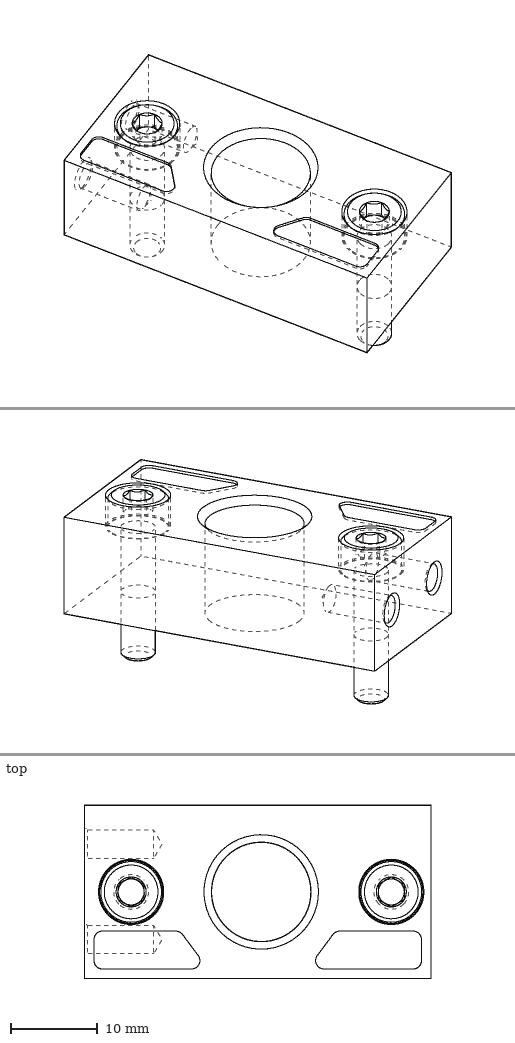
import cadquery as cq
import math

block_length = 40.0
block_width = 20.0
block_height = 12.0

feature_shift = 0.4
bore_diameter = 11.45
bore_chamfer = 0.9

screw_spacing = 30.0
shank_diameter = 4.0
shank_projection = 8.0
tip_chamfer = 0.45
head_diameter = 7.0
head_height = 4.0
head_chamfer = 0.4
head_recess_diameter = 7.5
head_recess_floor_chamfer = 0.1

socket_across_flats = 3.0
socket_depth = 2.0
socket_corner_diameter = socket_across_flats / math.cos(math.radians(30))
socket_lead_in = (socket_corner_diameter - socket_across_flats) / 2
socket_tip_height = 0.6

end_hole_diameter = 3.25
end_hole_mouth_diameter = 4.0
end_hole_spacing = 11.0
end_hole_depth = 8.0
drill_point_angle = 118.0

pocket_margin = 1.1
pocket_height = 4.35
pocket_top_length = 9.9
pocket_bottom_length = 13.15
pocket_depth = 0.3
pocket_corner_radius = 0.95

screw_points = [(feature_shift - screw_spacing / 2, 0), (feature_shift + screw_spacing / 2, 0)]
head_seat = block_height - head_height


def make_bore_cutter():
    """Through bore with a chamfered top rim."""
    radius = bore_diameter / 2
    bore = cq.Workplane("XY").center(feature_shift, 0).circle(radius).extrude(block_height)
    rim = cq.Solid.makeCone(
        radius,
        radius + bore_chamfer,
        bore_chamfer,
        pnt=cq.Vector(feature_shift, 0, block_height - bore_chamfer),
    )
    return bore.union(cq.Workplane(rim))


def make_screw_hole_cutter(point):
    """Shank hole with a recess for the screw head, chamfered around the floor of the recess."""
    shank_hole = cq.Workplane("XY").center(*point).circle(shank_diameter / 2).extrude(block_height)
    head_recess = (
        cq.Workplane("XY", origin=(0, 0, head_seat))
        .center(*point)
        .circle(head_recess_diameter / 2)
        .extrude(head_height)
        .faces("<Z")
        .chamfer(head_recess_floor_chamfer)
    )
    return shank_hole.union(head_recess)


def make_end_hole_cutter(y):
    """Blind drilled hole along +X from the end face, with a chamfered mouth and a drill point."""
    radius = end_hole_diameter / 2
    mouth_radius = end_hole_mouth_diameter / 2
    mouth_chamfer = mouth_radius - radius
    point_length = radius / math.tan(math.radians(drill_point_angle / 2))
    profile = [
        (0, 0),
        (0, mouth_radius),
        (mouth_chamfer, radius),
        (end_hole_depth, radius),
        (end_hole_depth + point_length, 0),
    ]
    return (
        cq.Workplane("XY", origin=(-block_length / 2, y, block_height / 2))
        .polyline(profile)
        .close()
        .revolve(360, (0, 0), (1, 0))
    )


def make_pocket_cutter():
    """Label pocket at the -X end: a four-sided outline with a slanted inner side."""
    left = pocket_margin - block_length / 2
    bottom = pocket_margin - block_width / 2
    top = bottom + pocket_height
    outline = [
        (left, bottom),
        (left + pocket_bottom_length, bottom),
        (left + pocket_top_length, top),
        (left, top),
    ]
    return (
        cq.Workplane("XY", origin=(0, 0, block_height - pocket_depth))
        .polyline(outline)
        .close()
        .extrude(pocket_depth)
        .edges("|Z")
        .fillet(pocket_corner_radius)
    )


def make_block():
    block = cq.Workplane("XY").box(
        block_length, block_width, block_height, centered=(True, True, False)
    )
    block = block.cut(make_bore_cutter())
    for point in screw_points:
        block = block.cut(make_screw_hole_cutter(point))
    for side in (-1, 1):
        block = block.cut(make_end_hole_cutter(side * end_hole_spacing / 2))
    pocket = make_pocket_cutter()
    return block.cut(pocket).cut(pocket.mirror("YZ"))


def make_socket_cutter():
    """Hexagon socket on the Z axis, with a round lead-in and a conical floor."""
    floor = block_height - socket_depth
    flat_radius = socket_across_flats / 2
    hexagon = (
        cq.Workplane("XY", origin=(0, 0, floor))
        .transformed(rotate=(0, 0, 90))
        .polygon(6, socket_corner_diameter)
        .extrude(socket_depth)
    )
    lead_in = cq.Solid.makeCone(
        flat_radius,
        socket_corner_diameter / 2,
        socket_lead_in,
        pnt=cq.Vector(0, 0, block_height - socket_lead_in),
    )
    tip = cq.Solid.makeCone(
        0, flat_radius, socket_tip_height, pnt=cq.Vector(0, 0, floor - socket_tip_height)
    )
    return hexagon.union(cq.Workplane(lead_in)).union(cq.Workplane(tip))


def make_screw(point):
    """Socket head cap screw, its head flush with the top of the block."""
    shank = (
        cq.Workplane("XY", origin=(0, 0, -shank_projection))
        .circle(shank_diameter / 2)
        .extrude(shank_projection + head_seat)
        .faces("<Z")
        .chamfer(tip_chamfer)
    )
    head = (
        cq.Workplane("XY", origin=(0, 0, head_seat))
        .circle(head_diameter / 2)
        .extrude(head_height)
        .faces(">Z")
        .chamfer(head_chamfer)
    )
    screw = shank.union(head).cut(make_socket_cutter())
    return screw.translate((point[0], point[1], 0))


block = make_block()
screws = [make_screw(point) for point in screw_points]

result = cq.Compound.makeCompound([block.val(), *[screw.val() for screw in screws]])